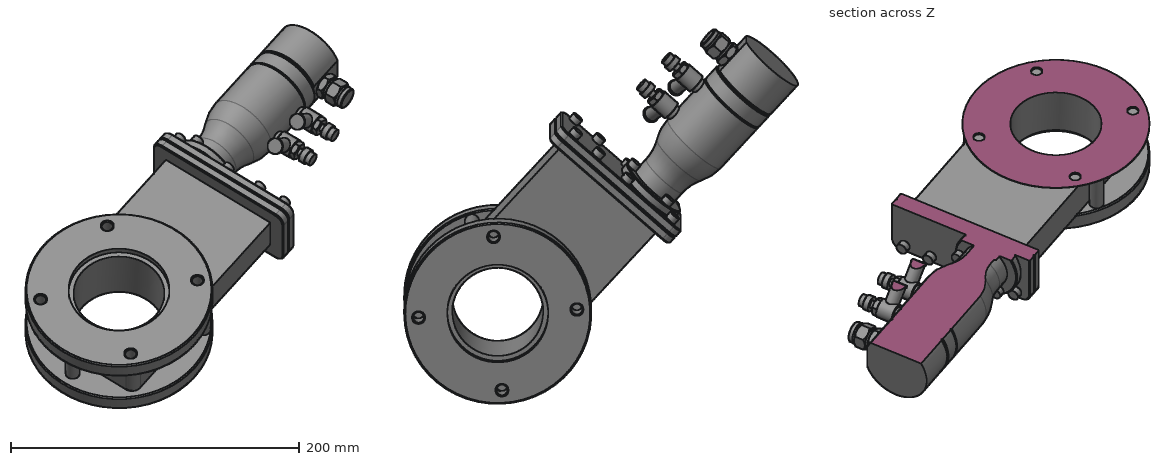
import cadquery as cq
import math


FLANGE_D = 130.05
OVERALL_Z = 51.44
HOUSING_Z = 26.0
FLANGE_T = (OVERALL_Z - HOUSING_Z) / 2
FLANGE_CHAMFER = 1.0
BORE_D = 63.0
RECESS_D = 70.0
RECESS_DEPTH = 4.5
BOLT_CIRCLE_D = 110.0
BOLT_HOLE_D = 7.6
BOLT_HOLE_CHAMFER = 0.8

POST_D = 10.0
FRONT_POST_Y = -54.0
SIDE_POST_X = 50.8
SIDE_POST_Y = 29.8

HOUSING_WIDTH = 90.0
HOUSING_FRONT_Y = -43.3
HOUSING_CORNER_R = 7.0
PLATE_START_Y = 115.6
PLATE_T = 6.5
PLATE_WIDTH = 112.0
PLATE_CORNER_R = 7.0
PLATE_CHAMFER = 0.8
PLATE_TOP_Y = PLATE_START_Y + 2 * PLATE_T

ACTUATOR_X = -24.4
ACTUATOR_D = 50.0
ACTUATOR_R = ACTUATOR_D / 2
NECK_R = 17.25
NECK_END_Y = 145.8
TAPER_END_Y = 176.7
RING_START_Y = 216.0
CAP_START_Y = 228.1
OVERALL_Y = 321.59
ACTUATOR_END_Y = OVERALL_Y - FLANGE_D / 2
GROOVE_DEPTH = 0.6
RING_GROOVE_WIDTH = 1.2
CAP_GROOVE_WIDTH = 2.0
CAP_FLAT_OFFSET = 23.2
FOOT_T = 6.5
FOOT_TOP_Y = PLATE_TOP_Y + FOOT_T

SCREW_HEAD_D = 8.0
SCREW_HEAD_H = 4.8
PLATE_SCREW_Z = 19.5
PLATE_SCREW_OFFSET = 20.9
PLATE_SCREW_X = [
    ACTUATOR_X - PLATE_SCREW_OFFSET,
    ACTUATOR_X + PLATE_SCREW_OFFSET,
    23.7,
    45.0,
]
FOOT_SCREW_RADIUS = 20.9
FOOT_SCREW_COUNT = 3

GLAND_Y = 239.7
GLAND_HEX = 16.2
GLAND_HEX_CHAMFER = 1.3
GLAND_NUT_START_X = 6.0
GLAND_NUT_END_X = 14.8
GLAND_BASE_END_X = 4.2
GLAND_NECK_D = 15.0
GLAND_COLLAR_D = 15.6
GLAND_COLLAR_END_X = 16.4
GLAND_TIP_D = 15.2
GLAND_TIP_END_X = 19.9
GLAND_TIP_CHAMFER = 0.6

AIR_FITTING_Y = [183.6, 209.4]
FITTING_BODY_START_X = 3.2
FITTING_BODY_END_X = 15.8
FITTING_BODY_D = 14.0
FITTING_INLET_D = 11.0
FITTING_NUT_END_X = 19.8
FITTING_NUT_HEX = 11.6
FITTING_NUT_CHAMFER = 0.8
FITTING_STEM_END_X = 23.2
FITTING_STEM_D = 5.6
FITTING_RING_END_X = 27.5
FITTING_RING_D = 11.0
FITTING_TIP_END_X = 31.4
FITTING_TIP_D = 9.0
LEG_X = (FITTING_BODY_START_X + FITTING_BODY_END_X) / 2
LEG_D = 10.0
LEG_LENGTH = 20.9
LEG_SLEEVE_D = 11.2
LEG_SLEEVE_LENGTH = 1.6

FITTING_EMBED = 2.0


def cylinder_x(x_start, x_end, diameter, y):
    """Cylinder along X centred on z = 0."""
    return (
        cq.Workplane("YZ", origin=(x_start, y, 0))
        .circle(diameter / 2)
        .extrude(x_end - x_start)
    )


def cylinder_y(y_start, y_end, diameter, x, z):
    """Cylinder along Y."""
    return (
        cq.Workplane("XZ", origin=(x, y_start, z))
        .circle(diameter / 2)
        .extrude(y_start - y_end)
    )


def make_flange(z_start):
    return (
        cq.Workplane("XY", origin=(0, 0, z_start))
        .circle(FLANGE_D / 2)
        .extrude(FLANGE_T)
        .edges()
        .chamfer(FLANGE_CHAMFER)
    )


def make_posts():
    places = [(0, FRONT_POST_Y), (-SIDE_POST_X, SIDE_POST_Y), (SIDE_POST_X, SIDE_POST_Y)]
    return (
        cq.Workplane("XY", origin=(0, 0, -HOUSING_Z / 2))
        .pushPoints(places)
        .circle(POST_D / 2)
        .extrude(HOUSING_Z)
    )


def make_housing():
    length = PLATE_START_Y - HOUSING_FRONT_Y
    return (
        cq.Workplane("XY")
        .box(HOUSING_WIDTH, length, HOUSING_Z, centered=(True, False, True))
        .translate((0, HOUSING_FRONT_Y, 0))
        .edges("|Z and <Y")
        .fillet(HOUSING_CORNER_R)
    )


def make_plate(y_start):
    return (
        cq.Workplane("XY")
        .box(PLATE_WIDTH, PLATE_T, OVERALL_Z, centered=(True, False, True))
        .translate((0, y_start, 0))
        .edges("|Y")
        .fillet(PLATE_CORNER_R)
        .faces("<Y or >Y")
        .edges()
        .chamfer(PLATE_CHAMFER)
    )


def make_actuator():
    """Revolved body: neck, S-shaped taper, cylinder, ring and cap with V grooves."""
    grooves = [(RING_START_Y, RING_GROOVE_WIDTH), (CAP_START_Y, CAP_GROOVE_WIDTH)]
    half_length = (TAPER_END_Y - NECK_END_Y) / 2
    half_rise = (ACTUATOR_R - NECK_R) / 2
    taper_r = (half_length**2 + half_rise**2) / (2 * half_rise)
    mid_angle = math.asin(half_length / taper_r) / 2
    arc_along = taper_r * math.sin(mid_angle)
    arc_sag = taper_r * (1 - math.cos(mid_angle))
    body = (
        cq.Workplane("XY")
        .moveTo(0, PLATE_TOP_Y)
        .lineTo(NECK_R, PLATE_TOP_Y)
        .lineTo(NECK_R, NECK_END_Y)
        .threePointArc(
            (NECK_R + arc_sag, NECK_END_Y + arc_along),
            (NECK_R + half_rise, NECK_END_Y + half_length),
        )
        .threePointArc(
            (ACTUATOR_R - arc_sag, TAPER_END_Y - arc_along),
            (ACTUATOR_R, TAPER_END_Y),
        )
    )
    for groove_y, width in grooves:
        body = (
            body.lineTo(ACTUATOR_R, groove_y - width / 2)
            .lineTo(ACTUATOR_R - GROOVE_DEPTH, groove_y)
            .lineTo(ACTUATOR_R, groove_y + width / 2)
        )
    body = (
        body.lineTo(ACTUATOR_R, ACTUATOR_END_Y)
        .lineTo(0, ACTUATOR_END_Y)
        .close()
        .revolve(360, (0, 0, 0), (0, 1, 0))
    )
    cap_flat = (
        cq.Workplane("XY")
        .box(ACTUATOR_D, ACTUATOR_END_Y - CAP_START_Y, ACTUATOR_D, centered=(False, False, True))
        .translate((CAP_FLAT_OFFSET, CAP_START_Y, 0))
    )
    return body.cut(cap_flat).translate((ACTUATOR_X, 0, 0))


def make_foot():
    """Round mounting foot of the actuator."""
    foot = cylinder_y(PLATE_TOP_Y, FOOT_TOP_Y, ACTUATOR_D, ACTUATOR_X, 0)
    return foot.edges().chamfer(PLATE_CHAMFER)


def make_screw_head(x, y_seat, z):
    return cylinder_y(y_seat, y_seat + SCREW_HEAD_H, SCREW_HEAD_D, x, z)


def make_screw_heads():
    """Heads in two rows on the end plate and on a bolt circle on the foot."""
    heads = []
    for x in PLATE_SCREW_X:
        for z in (-PLATE_SCREW_Z, PLATE_SCREW_Z):
            heads.append(make_screw_head(x, PLATE_TOP_Y, z))
    for i in range(FOOT_SCREW_COUNT):
        angle = 2 * math.pi * i / FOOT_SCREW_COUNT
        x = ACTUATOR_X + FOOT_SCREW_RADIUS * math.cos(angle)
        z = FOOT_SCREW_RADIUS * math.sin(angle)
        heads.append(make_screw_head(x, FOOT_TOP_Y, z))
    return heads


def hexagon_x(x_start, x_end, across_flats, chamfer, y):
    """Hexagon nut along X, with a corner pointing to +Z and chamfered corners."""
    corner_d = across_flats / math.cos(math.pi / 6)
    prism = (
        cq.Workplane("YZ", origin=(x_start, y, 0))
        .transformed(rotate=(0, 0, 90))
        .polygon(6, corner_d)
        .extrude(x_end - x_start)
    )
    rounding = cylinder_x(x_start, x_end, corner_d, y).edges().chamfer(chamfer)
    return prism.intersect(rounding)


def make_gland():
    base_x = ACTUATOR_X + CAP_FLAT_OFFSET
    base = hexagon_x(base_x, GLAND_BASE_END_X, GLAND_HEX, GLAND_HEX_CHAMFER, GLAND_Y)
    neck = cylinder_x(GLAND_BASE_END_X, GLAND_NUT_START_X, GLAND_NECK_D, GLAND_Y)
    nut = hexagon_x(GLAND_NUT_START_X, GLAND_NUT_END_X, GLAND_HEX, GLAND_HEX_CHAMFER, GLAND_Y)
    collar = cylinder_x(GLAND_NUT_END_X, GLAND_COLLAR_END_X, GLAND_COLLAR_D, GLAND_Y)
    tip = cylinder_x(GLAND_COLLAR_END_X, GLAND_TIP_END_X, GLAND_TIP_D, GLAND_Y)
    tip = tip.faces(">X").edges().chamfer(GLAND_TIP_CHAMFER)
    return base.union(neck).union(nut).union(collar).union(tip)


def make_air_fitting(y):
    """T fitting along X with a leg inclined 45 degrees towards -Y and +Z."""
    inlet_x = ACTUATOR_X + ACTUATOR_R - FITTING_EMBED
    fitting = cylinder_x(inlet_x, FITTING_BODY_START_X, FITTING_INLET_D, y)
    fitting = fitting.union(cylinder_x(FITTING_BODY_START_X, FITTING_BODY_END_X, FITTING_BODY_D, y))
    fitting = fitting.union(
        hexagon_x(FITTING_BODY_END_X, FITTING_NUT_END_X, FITTING_NUT_HEX, FITTING_NUT_CHAMFER, y)
    )
    fitting = fitting.union(cylinder_x(FITTING_NUT_END_X, FITTING_STEM_END_X, FITTING_STEM_D, y))
    fitting = fitting.union(cylinder_x(FITTING_STEM_END_X, FITTING_RING_END_X, FITTING_RING_D, y))
    fitting = fitting.union(cylinder_x(FITTING_RING_END_X, FITTING_TIP_END_X, FITTING_TIP_D, y))

    leg_plane = cq.Plane(origin=(LEG_X, y, 0), xDir=(1, 0, 0), normal=(0, -1, 1))
    leg = cq.Workplane(leg_plane).circle(LEG_D / 2).extrude(LEG_LENGTH)
    sleeve = (
        cq.Workplane(leg_plane)
        .workplane(offset=LEG_LENGTH - LEG_SLEEVE_LENGTH)
        .circle(LEG_SLEEVE_D / 2)
        .extrude(LEG_SLEEVE_LENGTH)
    )
    return fitting.union(leg).union(sleeve)


def make_bolt_hole():
    """Chamfered hole through the upper flange, on the Z axis."""
    top_z = OVERALL_Z / 2
    hole_r = BOLT_HOLE_D / 2
    profile = [
        (0, top_z),
        (hole_r + BOLT_HOLE_CHAMFER, top_z),
        (hole_r, top_z - BOLT_HOLE_CHAMFER),
        (hole_r, HOUSING_Z / 2),
        (0, HOUSING_Z / 2),
    ]
    return cq.Workplane("XZ").polyline(profile).close().revolve(360, (0, 0, 0), (0, 1, 0))


def cut_openings(part):
    """Bore through the part, then the same recess and bolt holes in both flanges."""
    bore = cq.Workplane("XY").circle(BORE_D / 2).extrude(OVERALL_Z, both=True)
    flange_cuts = (
        cq.Workplane("XY", origin=(0, 0, OVERALL_Z / 2))
        .circle(RECESS_D / 2)
        .extrude(-RECESS_DEPTH)
    )
    bolt_offset = BOLT_CIRCLE_D / 2 / math.sqrt(2)
    for x in (-bolt_offset, bolt_offset):
        for y in (-bolt_offset, bolt_offset):
            flange_cuts = flange_cuts.union(make_bolt_hole().translate((x, y, 0)))
    return part.cut(bore).cut(flange_cuts).cut(flange_cuts.mirror("XY"))


result = make_housing()
for z_start in (-OVERALL_Z / 2, HOUSING_Z / 2):
    result = result.union(make_flange(z_start))
result = result.union(make_posts())
for y_start in (PLATE_START_Y, PLATE_START_Y + PLATE_T):
    result = result.union(make_plate(y_start))
result = result.union(make_actuator()).union(make_foot())
for head in make_screw_heads():
    result = result.union(head)
result = result.union(make_gland())
for fitting_y in AIR_FITTING_Y:
    result = result.union(make_air_fitting(fitting_y))
result = cut_openings(result)